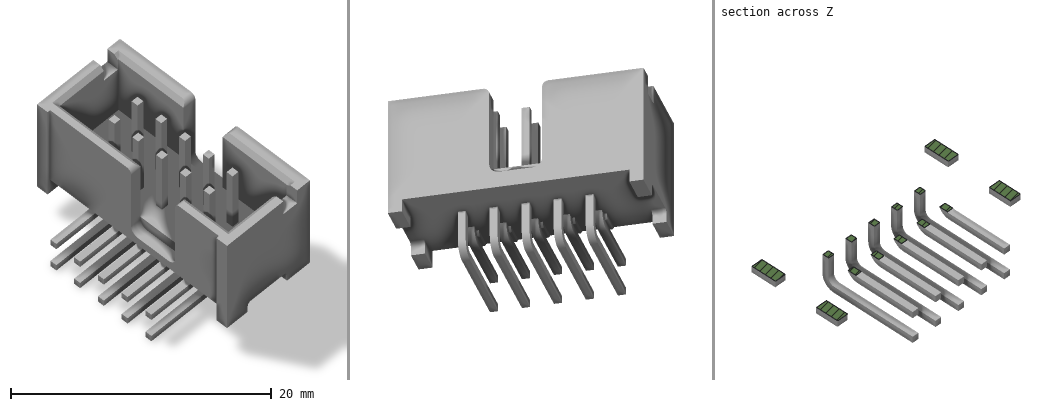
import cadquery as cq
import math


OVERALL_DEPTH = 12.57
OVERALL_HEIGHT = 12.45

BODY_LENGTH = 20.32
BODY_DEPTH = 9.14
BODY_HEIGHT = 9.85
END_THICKNESS = 1.13
FRONT_RECESS = 0.28
FLOOR_UNDERSIDE = 1.04
FLOOR_TOP = 3.41
FRONT_WALL_BOTTOM = 1.52
UNDERSIDE_SLOPE = 46

CAVITY_LENGTH = BODY_LENGTH - 2 * END_THICKNESS
CAVITY_DEPTH = 6.5
RIM_CHAMFER = 0.4

SLOT_BOTTOM = 2.37
SLOT_FLOOR_RADIUS = 0.76
SLOT_MOUTH_RADIUS = 0.5
FRONT_SLOT_WIDTH = 4.7
FRONT_SLOT_X = 1.99
BACK_SLOT_WIDTH = 4.2
BACK_SLOT_X = 0.0

TOP_NOTCH_SIZE = 1.54
TOP_NOTCH_BACK = 3.17
FOOT_NOTCH_FRONT = -2.29
FOOT_NOTCH_BACK = 2.04
FOOT_NOTCH_RADIUS = 0.38

PITCH = 2.54
COLUMNS = 5
PIN_SIZE = 0.63
PIN_TOP = BODY_HEIGHT - RIM_CHAMFER
PIN_TAIL_Y = BODY_DEPTH / 2 - OVERALL_DEPTH
BACK_PIN_UNDERSIDE = BODY_HEIGHT - OVERALL_HEIGHT
FRONT_PIN_UNDERSIDE = BACK_PIN_UNDERSIDE + PITCH
BEND_INNER_RADIUS = 0.6
BEND_OUTER_RADIUS = BEND_INNER_RADIUS + PIN_SIZE

SUPPORT_WIDTH = 1.02
SUPPORT_UNDERSIDE = 0.65

BODY_BACK = BODY_DEPTH / 2
BODY_FRONT = -BODY_BACK
WALL_FRONT = BODY_FRONT + FRONT_RECESS
COLUMN_XS = [(i - (COLUMNS - 1) / 2) * PITCH for i in range(COLUMNS)]


def box(x_range, y_range, z_range):
    """Axis-aligned box between pairs of limits."""
    corner = (x_range[0], y_range[0], z_range[0])
    size = (x_range[1] - x_range[0], y_range[1] - y_range[0], z_range[1] - z_range[0])
    return cq.Workplane("XY").box(*size, centered=False).translate(corner)


def yz_prism(outline, x_center, width):
    """Extrude a closed YZ outline symmetrically about x_center."""
    return outline.close().extrude(width / 2, both=True).translate((x_center, 0, 0))


def sloped_front_y(z):
    """Y of the sloped underside at height z."""
    return WALL_FRONT + (FRONT_WALL_BOTTOM - z) / math.tan(math.radians(UNDERSIDE_SLOPE))


def make_shell():
    """Middle housing with a sloped lower front edge, between two end blocks on feet."""
    outline = (
        cq.Workplane("YZ")
        .moveTo(BODY_BACK, FLOOR_UNDERSIDE)
        .lineTo(BODY_BACK, BODY_HEIGHT)
        .lineTo(WALL_FRONT, BODY_HEIGHT)
        .lineTo(WALL_FRONT, FRONT_WALL_BOTTOM)
        .lineTo(sloped_front_y(FLOOR_UNDERSIDE), FLOOR_UNDERSIDE)
    )
    shell = yz_prism(outline, 0, CAVITY_LENGTH)
    half_length = BODY_LENGTH / 2
    half_cavity = CAVITY_LENGTH / 2
    for x_range in ((-half_length, -half_cavity), (half_cavity, half_length)):
        shell = shell.union(box(x_range, (BODY_FRONT, BODY_BACK), (0, BODY_HEIGHT)))
    return shell


def make_cavity():
    """Mating cavity, widened at 45 degrees around the rim."""
    cavity = (
        cq.Workplane("XY", origin=(0, 0, FLOOR_TOP))
        .rect(CAVITY_LENGTH, CAVITY_DEPTH)
        .extrude(BODY_HEIGHT - FLOOR_TOP)
    )
    rim = (
        cq.Workplane("XY", origin=(0, 0, BODY_HEIGHT))
        .rect(CAVITY_LENGTH + 2 * RIM_CHAMFER, CAVITY_DEPTH + 2 * RIM_CHAMFER)
        .workplane(offset=-RIM_CHAMFER)
        .rect(CAVITY_LENGTH, CAVITY_DEPTH)
        .loft(ruled=True)
    )
    return cavity.union(rim)


def make_wall_slot(x_center, width, y_range):
    """Slot through a long wall: rounded bottom corners and a flared rounded mouth."""
    half = width / 2
    mouth_half = half + SLOT_MOUTH_RADIUS
    mouth_z = BODY_HEIGHT - SLOT_MOUTH_RADIUS
    floor_half = half - SLOT_FLOOR_RADIUS
    floor_corner_z = SLOT_BOTTOM + SLOT_FLOOR_RADIUS
    return (
        cq.Workplane("XZ", origin=(x_center, y_range[1], 0))
        .moveTo(-mouth_half, BODY_HEIGHT)
        .radiusArc((-half, mouth_z), SLOT_MOUTH_RADIUS)
        .lineTo(-half, floor_corner_z)
        .radiusArc((-floor_half, SLOT_BOTTOM), -SLOT_FLOOR_RADIUS)
        .lineTo(floor_half, SLOT_BOTTOM)
        .radiusArc((half, floor_corner_z), -SLOT_FLOOR_RADIUS)
        .lineTo(half, mouth_z)
        .radiusArc((mouth_half, BODY_HEIGHT), SLOT_MOUTH_RADIUS)
        .close()
        .extrude(y_range[1] - y_range[0])
    )


def make_end_notches():
    """Square notch in the top and round-cornered gap between the feet of both end blocks."""
    x_range = (-BODY_LENGTH / 2, BODY_LENGTH / 2)
    top_y_range = (TOP_NOTCH_BACK - TOP_NOTCH_SIZE, TOP_NOTCH_BACK)
    top = box(x_range, top_y_range, (BODY_HEIGHT - TOP_NOTCH_SIZE, BODY_HEIGHT))
    foot = box(x_range, (FOOT_NOTCH_FRONT, FOOT_NOTCH_BACK), (0, FLOOR_UNDERSIDE))
    foot = foot.edges("|X and >Z").fillet(FOOT_NOTCH_RADIUS)
    return top.union(foot)


def make_pin(x, row_y, underside):
    """Square pin, upright in the cavity and bent to run out toward -Y."""
    back = row_y + PIN_SIZE / 2
    front = row_y - PIN_SIZE / 2
    bend_y = front - BEND_INNER_RADIUS
    bend_z = underside + BEND_OUTER_RADIUS
    tail_top = underside + PIN_SIZE
    outline = (
        cq.Workplane("YZ")
        .moveTo(back, PIN_TOP)
        .lineTo(back, bend_z)
        .radiusArc((bend_y, underside), BEND_OUTER_RADIUS)
        .lineTo(PIN_TAIL_Y, underside)
        .lineTo(PIN_TAIL_Y, tail_top)
        .lineTo(bend_y, tail_top)
        .radiusArc((front, bend_z), -BEND_INNER_RADIUS)
        .lineTo(front, PIN_TOP)
    )
    return yz_prism(outline, x, PIN_SIZE)


def make_support(x, row_y):
    """Rib inside the front-row bend; it continues the sloped underside of the housing."""
    pin_front = row_y - PIN_SIZE / 2
    bend_y = pin_front - BEND_INNER_RADIUS
    bend_z = FRONT_PIN_UNDERSIDE + BEND_OUTER_RADIUS
    drop = bend_z - SUPPORT_UNDERSIDE
    bend_end_y = bend_y + math.sqrt(BEND_INNER_RADIUS**2 - drop**2)
    outline = (
        cq.Workplane("YZ")
        .moveTo(pin_front, FRONT_WALL_BOTTOM)
        .lineTo(pin_front, bend_z)
        .radiusArc((bend_end_y, SUPPORT_UNDERSIDE), BEND_INNER_RADIUS)
        .lineTo(sloped_front_y(SUPPORT_UNDERSIDE), SUPPORT_UNDERSIDE)
        .lineTo(WALL_FRONT, FRONT_WALL_BOTTOM)
    )
    return yz_prism(outline, x, SUPPORT_WIDTH)


front_row_y = -PITCH / 2
back_row_y = PITCH / 2

result = make_shell().cut(make_cavity()).cut(make_end_notches())
result = result.cut(make_wall_slot(FRONT_SLOT_X, FRONT_SLOT_WIDTH, (BODY_FRONT, -CAVITY_DEPTH / 2)))
result = result.cut(make_wall_slot(BACK_SLOT_X, BACK_SLOT_WIDTH, (CAVITY_DEPTH / 2, BODY_BACK)))
for column_x in COLUMN_XS:
    result = result.union(make_support(column_x, front_row_y))
    result = result.union(make_pin(column_x, front_row_y, FRONT_PIN_UNDERSIDE))
    result = result.union(make_pin(column_x, back_row_y, BACK_PIN_UNDERSIDE))